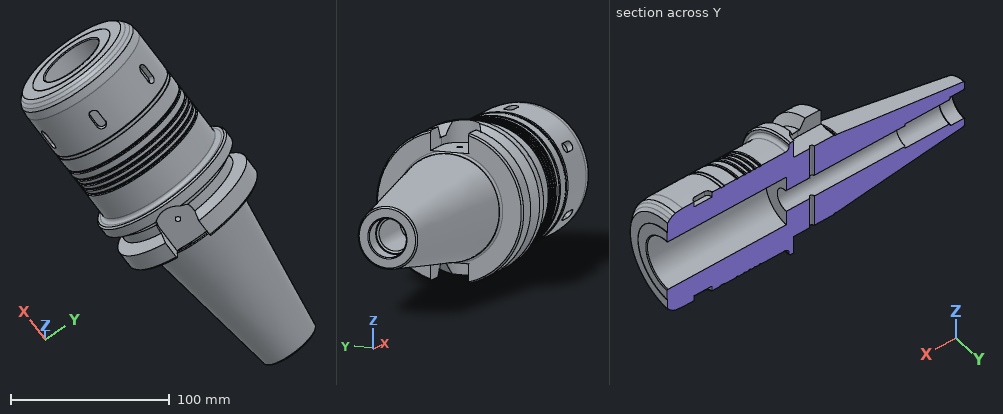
import cadquery as cq
import math


total_length = 236.8
gauge_x = 101.8
flange_start = 104.2
flange_end = 140.0

taper_ratio = 7 / 24
gauge_radius = 69.9 / 2
tail_radius = gauge_radius - gauge_x * taper_ratio / 2
tail_chamfer = 1.0
neck_radius = 69.0 / 2
neck_fillet = 1.7

flange_radius = 50.0
flange_chamfer = 1.2
grip_radius = 42.5
grip_left_edge = 117.0
grip_right_edge = 132.1
grip_flank_angle = 30
grip_flank_length = (flange_radius - grip_radius) * math.tan(math.radians(grip_flank_angle))

body_radius = 44.0
body_fillet = 2.8
ring_depth = 0.6
ring_width = 2.0
first_ring_x = 162.7
ring_pitch = 4.0
ring_steps = [0, 1, 2, 3, 4.5]
nut_gap_start = 191.3
nut_gap_end = 193.5
nut_chamfer = 0.7
nose_start = 224.7
nose_profile = [(230.5, 43.3), (232.5, 42.2), (234.7, 40.3)]
nut_face_x = 236.5
nut_face_radius = 38.1
collar_radius = 29.8

drawbar_radius = 12.5
drawbar_depth = 11.4
mouth_chamfer = 0.7
thread_major_radius = 24.0 / 2
thread_radius = 21.0 / 2
thread_lead_in = 0.7
thread_end = 47.4
through_radius = 9.0
chuck_radius = 42.0 / 2
chuck_depth = 94.7
chuck_chamfer = 0.7

keyway_width = 25.8
keyway_floor = 70.8 / 2
keyway_end = 136.0
pin_hole_x = 121.5
pin_hole_radius = 1.7

slot_count = 6
slot_centre_x = 208.1
slot_length = 14.0
slot_width = 6.5
slot_depth = 4.3


def ring_groove(centre):
    half_width = ring_width / 2
    half_floor = half_width - ring_depth
    floor_radius = body_radius - ring_depth
    return [
        (centre - half_width, body_radius),
        (centre - half_floor, floor_radius),
        (centre + half_floor, floor_radius),
        (centre + half_width, body_radius),
    ]


def turned_body():
    profile = (
        cq.Workplane("XY")
        .moveTo(0, 0)
        .lineTo(0, tail_radius - tail_chamfer)
        .lineTo(tail_chamfer, tail_radius + tail_chamfer * taper_ratio / 2)
        .lineTo(gauge_x, gauge_radius)
        .lineTo(flange_start - neck_fillet, neck_radius)
        .radiusArc((flange_start, neck_radius + neck_fillet), -neck_fillet)
        .lineTo(flange_start, flange_radius - flange_chamfer)
        .lineTo(flange_start + flange_chamfer, flange_radius)
        .lineTo(grip_left_edge, flange_radius)
        .lineTo(grip_left_edge + grip_flank_length, grip_radius)
        .lineTo(grip_right_edge - grip_flank_length, grip_radius)
        .lineTo(grip_right_edge, flange_radius)
        .lineTo(flange_end - flange_chamfer, flange_radius)
        .lineTo(flange_end, flange_radius - flange_chamfer)
        .lineTo(flange_end, body_radius + body_fillet)
        .radiusArc((flange_end + body_fillet, body_radius), -body_fillet)
    )
    for step in ring_steps:
        for point in ring_groove(first_ring_x + step * ring_pitch):
            profile = profile.lineTo(*point)
    gap_radius = body_radius - ring_depth
    profile = (
        profile.lineTo(nut_gap_start, body_radius)
        .lineTo(nut_gap_start, gap_radius)
        .lineTo(nut_gap_end, gap_radius)
        .lineTo(nut_gap_end + nut_chamfer, body_radius)
        .lineTo(nose_start, body_radius)
    )
    for point in nose_profile:
        profile = profile.lineTo(*point)
    profile = (
        profile.lineTo(nut_face_x, nut_face_radius)
        .lineTo(nut_face_x, collar_radius)
        .lineTo(total_length, collar_radius)
        .lineTo(total_length, 0)
        .close()
    )
    return profile.revolve(360, (0, 0, 0), (1, 0, 0))


def bores():
    chuck_floor = total_length - chuck_depth
    outline = [
        (0, 0),
        (0, drawbar_radius + mouth_chamfer),
        (mouth_chamfer, drawbar_radius),
        (drawbar_depth, drawbar_radius),
        (drawbar_depth, thread_major_radius),
        (drawbar_depth + thread_lead_in, thread_radius),
        (thread_end, thread_radius),
        (thread_end, through_radius),
        (chuck_floor, through_radius),
        (chuck_floor, chuck_radius),
        (total_length - chuck_chamfer, chuck_radius),
        (total_length, chuck_radius + chuck_chamfer),
        (total_length, 0),
    ]
    return cq.Workplane("XY").polyline(outline).close().revolve(360, (0, 0, 0), (1, 0, 0))


def keyway():
    end_radius = keyway_width / 2
    arc_centre = keyway_end - end_radius
    return (
        cq.Workplane("XY", origin=(0, 0, keyway_floor))
        .moveTo(gauge_x, -end_radius)
        .lineTo(arc_centre, -end_radius)
        .threePointArc((keyway_end, 0), (arc_centre, end_radius))
        .lineTo(gauge_x, end_radius)
        .close()
        .extrude(flange_radius)
    )


def spanner_slot():
    return (
        cq.Workplane("XY", origin=(slot_centre_x, 0, body_radius - slot_depth))
        .slot2D(slot_length, slot_width)
        .extrude(flange_radius)
    )


def around_axis(shape, angle):
    return shape.rotate((0, 0, 0), (1, 0, 0), angle)


result = turned_body().cut(bores())

for angle in (0, 180):
    result = result.cut(around_axis(keyway(), angle))

pin_hole = (
    cq.Workplane("XY", origin=(pin_hole_x, 0, 0))
    .circle(pin_hole_radius)
    .extrude(flange_radius, both=True)
)
result = result.cut(pin_hole)

for index in range(slot_count):
    result = result.cut(around_axis(spanner_slot(), index * 360 / slot_count))